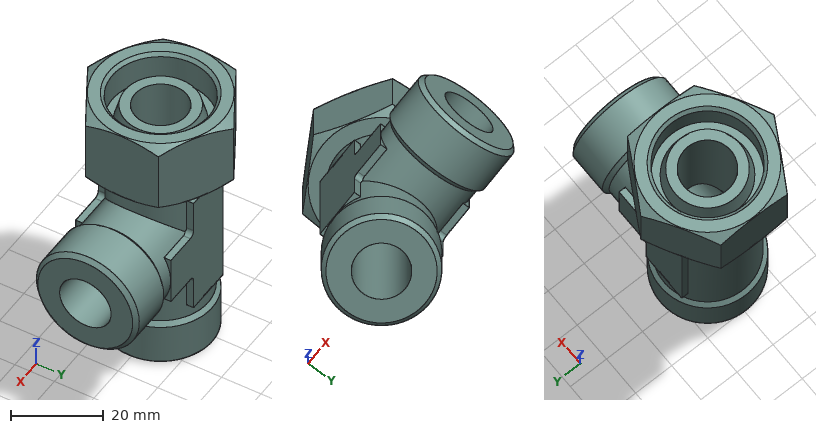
import cadquery as cq
import math

TOTAL_HEIGHT = 68.5
PIPE_DIAMETER = 24.0
COLLAR_DIAMETER = 26.0
COLLAR_LENGTH = 12.1
COLLAR_CHAMFER = 1.0
BORE_DIAMETER = 13.0
BRANCH_HEIGHT = 31.0
BRANCH_REACH = 31.0

PAD_SPACING = 24.1
PAD_WIDTH = 12.2
PAD_HEIGHT = 30.95
PAD_REACH = 15.4
PAD_FILLET = 1.3

NUT_ACROSS_FLATS = 32.0
NUT_HEIGHT = 18.1
NUT_FACE_DIAMETER = 31.65
NUT_CHAMFER_SLOPE = 0.58
NUT_BORE_DIAMETER = 24.4
NUT_MOUTH_DIAMETER = 26.0
NUT_BORE_DEPTH = 7.9
NOSE_TIP_DIAMETER = 18.0
NOSE_BASE_DIAMETER = 20.4
NOSE_RECESS = 3.55

NUT_BOTTOM = TOTAL_HEIGHT - NUT_HEIGHT
BORE_FLOOR = TOTAL_HEIGHT - NUT_BORE_DEPTH
NUT_ACROSS_CORNERS = NUT_ACROSS_FLATS / math.cos(math.pi / 6)


def collared_pipe(collar_end, pipe_end):
    """Pipe along Z from pipe_end to a chamfered collar that finishes at collar_end (above pipe_end)."""
    pipe = (
        cq.Workplane("XY")
        .workplane(offset=pipe_end)
        .circle(PIPE_DIAMETER / 2)
        .extrude(collar_end - pipe_end)
    )
    collar = (
        cq.Workplane("XY")
        .workplane(offset=collar_end - COLLAR_LENGTH)
        .circle(COLLAR_DIAMETER / 2)
        .extrude(COLLAR_LENGTH)
        .faces("<Z or >Z")
        .chamfer(COLLAR_CHAMFER)
    )
    return pipe.union(collar)


def make_run():
    """Vertical pipe with its collar at the bottom, reaching up to the nut bore floor."""
    return collared_pipe(0, -BORE_FLOOR).rotate((0, 0, 0), (1, 0, 0), 180)


def make_branch():
    """Side pipe along +X with its collar at the outer end."""
    branch = collared_pipe(BRANCH_REACH, 0).rotate((0, 0, 0), (0, 1, 0), 90)
    return branch.translate((0, 0, BRANCH_HEIGHT))


def make_pads():
    """T-shaped plate through the body whose two outer faces are the wrench flats."""
    plane = cq.Workplane("XZ", origin=(0, 0, BRANCH_HEIGHT))
    upright = plane.rect(PAD_WIDTH, PAD_HEIGHT).extrude(PAD_SPACING / 2, both=True)
    arm = plane.center(PAD_REACH / 2, 0).rect(PAD_REACH, PAD_WIDTH).extrude(PAD_SPACING / 2, both=True)
    inner_corners = cq.selectors.BoxSelector(
        (PAD_WIDTH / 2 - PAD_FILLET, -PAD_SPACING, BRANCH_HEIGHT - PAD_WIDTH),
        (PAD_WIDTH / 2 + PAD_FILLET, PAD_SPACING, BRANCH_HEIGHT + PAD_WIDTH),
    )
    return upright.union(arm).edges("|Y").edges(inner_corners).fillet(PAD_FILLET)


def make_nut():
    """Hexagonal nut with conical corner chamfers and a bevelled blind bore from the top."""
    hexagon = (
        cq.Workplane("XY")
        .workplane(offset=NUT_BOTTOM)
        .polygon(6, NUT_ACROSS_CORNERS)
        .extrude(NUT_HEIGHT)
        .rotate((0, 0, 0), (0, 0, 1), 30)
    )
    face_radius = NUT_FACE_DIAMETER / 2
    corner_radius = NUT_ACROSS_CORNERS / 2
    corner_drop = (corner_radius - face_radius) * NUT_CHAMFER_SLOPE
    envelope = (
        cq.Workplane("XZ")
        .moveTo(0, NUT_BOTTOM)
        .lineTo(face_radius, NUT_BOTTOM)
        .lineTo(corner_radius, NUT_BOTTOM + corner_drop)
        .lineTo(corner_radius, TOTAL_HEIGHT - corner_drop)
        .lineTo(face_radius, TOTAL_HEIGHT)
        .lineTo(0, TOTAL_HEIGHT)
        .close()
        .revolve(360, (0, 0), (0, 1))
    )
    bevel = (NUT_MOUTH_DIAMETER - NUT_BORE_DIAMETER) / 2
    cavity = (
        cq.Workplane("XZ")
        .moveTo(0, BORE_FLOOR)
        .lineTo(NUT_BORE_DIAMETER / 2, BORE_FLOOR)
        .lineTo(NUT_BORE_DIAMETER / 2, TOTAL_HEIGHT - bevel)
        .lineTo(NUT_MOUTH_DIAMETER / 2, TOTAL_HEIGHT)
        .lineTo(0, TOTAL_HEIGHT)
        .close()
        .revolve(360, (0, 0), (0, 1))
    )
    return hexagon.intersect(envelope).cut(cavity)


def make_nose():
    """Tapered sealing nose standing on the nut bore floor."""
    return (
        cq.Workplane("XY")
        .workplane(offset=BORE_FLOOR)
        .circle(NOSE_BASE_DIAMETER / 2)
        .workplane(offset=NUT_BORE_DEPTH - NOSE_RECESS)
        .circle(NOSE_TIP_DIAMETER / 2)
        .loft()
    )


def make_bores():
    """Through bore of the run joined by the branch bore."""
    run_bore = cq.Workplane("XY").circle(BORE_DIAMETER / 2).extrude(TOTAL_HEIGHT)
    branch_bore = (
        cq.Workplane("YZ", origin=(0, 0, BRANCH_HEIGHT))
        .circle(BORE_DIAMETER / 2)
        .extrude(BRANCH_REACH)
    )
    return run_bore.union(branch_bore)


body = make_run().union(make_branch()).union(make_pads())
result = body.union(make_nut()).union(make_nose()).cut(make_bores())